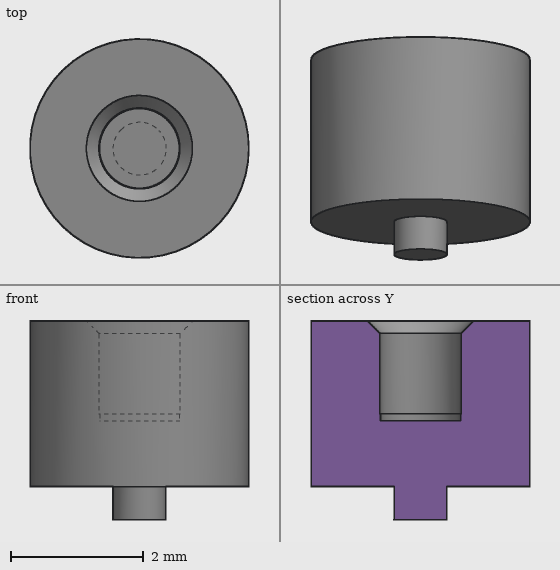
import cadquery as cq

body_diameter = 3.3
total_height = 3.0
pin_diameter = 0.8
pin_length = 0.5
mouth_diameter = 1.597
bore_diameter = 1.22
seat_diameter = 1.2
bore_depth = 1.5
seat_depth = 0.1

body_height = total_height - pin_length
countersink_depth = (mouth_diameter - bore_diameter) / 2

body = cq.Workplane("XY").circle(body_diameter / 2).extrude(body_height)

pin = cq.Workplane("XY").circle(pin_diameter / 2).extrude(-pin_length)

floor_z = body_height - bore_depth
socket = (
    cq.Workplane("XZ")
    .moveTo(0, floor_z)
    .lineTo(seat_diameter / 2, floor_z)
    .lineTo(seat_diameter / 2, floor_z + seat_depth)
    .lineTo(bore_diameter / 2, floor_z + seat_depth)
    .lineTo(bore_diameter / 2, body_height - countersink_depth)
    .lineTo(mouth_diameter / 2, body_height)
    .lineTo(0, body_height)
    .close()
    .revolve(360, (0, 0, 0), (0, 1, 0))
)

result = body.union(pin).cut(socket)